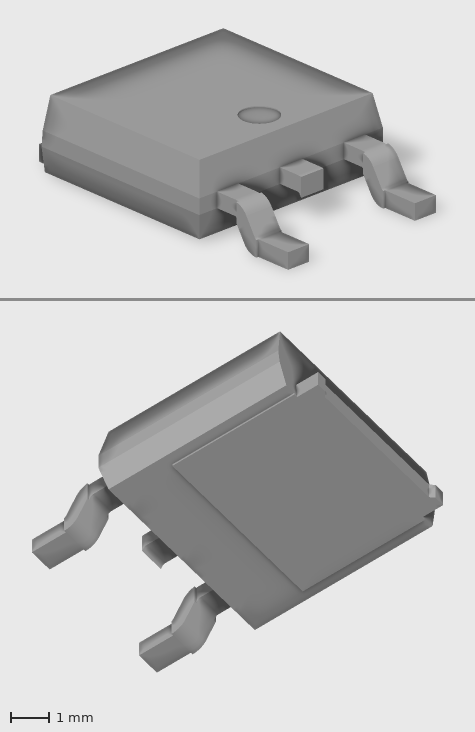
import cadquery as cq
import math

LENGTH = 9.5
HEIGHT = 2.35

BODY_WIDTH = 6.6
BODY_BASE = 0.07
BODY_TAB_FOOT = 0.7
BODY_TAB_TOP = 0.91
BODY_LEAD_SIDE = 6.79
DRAFT_INSET = 0.19
BAND_BOTTOM = 0.88
BAND_TOP = 1.36

MARK_X = 5.59
MARK_RADIUS = 0.57
MARK_DEPTH = 0.05

METAL_THICKNESS = 0.5
TAB_WIDTH = 5.32
PAD_WIDTH = 5.55
PAD_END = 4.75
PRONG_WIDTH = 0.32
NOTCH_DEPTH = 0.12

LEAD_WIDTH = 0.76
CENTER_LEAD_WIDTH = 0.8
LEAD_OFFSET = (TAB_WIDTH - LEAD_WIDTH) / 2
SHOULDER_WIDTH = 0.9
SHOULDER_START = 7.6
SHOULDER_END = 8.37
LEAD_ROOT = BODY_LEAD_SIDE - 0.475
LEAD_SLOPE = 58.2
UPPER_KNEE_X = 7.81
LOWER_KNEE_X = 7.51
UPPER_OUTER_RADIUS = 0.59
LOWER_OUTER_RADIUS = 0.53
INNER_BEND_RADIUS = 0.095


def box(x_start, x_end, width, z_bottom, z_top):
    """Box between two X and two Z limits, centred on Y = 0."""
    return (
        cq.Workplane("XY")
        .box(x_end - x_start, width, z_top - z_bottom, centered=(False, True, False))
        .translate((x_start, 0, z_bottom))
    )


def make_body():
    """Tapered body: the side profile intersected with the end profile."""
    half_width = BODY_WIDTH / 2
    side_profile = [
        (BODY_TAB_FOOT, BODY_BASE),
        (BODY_LEAD_SIDE - DRAFT_INSET, BODY_BASE),
        (BODY_LEAD_SIDE, BAND_BOTTOM),
        (BODY_LEAD_SIDE, BAND_TOP),
        (BODY_LEAD_SIDE - DRAFT_INSET, HEIGHT),
        (BODY_TAB_TOP, HEIGHT),
    ]
    half_end_profile = [
        (half_width - DRAFT_INSET, BODY_BASE),
        (half_width, BAND_BOTTOM),
        (half_width, BAND_TOP),
        (half_width - DRAFT_INSET, HEIGHT),
    ]
    mirrored = [(-y, z) for y, z in reversed(half_end_profile)]
    side = cq.Workplane("XZ").polyline(side_profile).close().extrude(half_width, both=True)
    end = cq.Workplane("YZ").polyline(half_end_profile + mirrored).close().extrude(LENGTH)
    mark = (
        cq.Workplane("XY", origin=(MARK_X, 0, HEIGHT - MARK_DEPTH))
        .circle(MARK_RADIUS)
        .extrude(MARK_DEPTH)
    )
    return side.intersect(end).cut(mark)


def make_tab():
    """Heat-sink tab with two end prongs, plus the wider exposed pad."""
    mouth = TAB_WIDTH / 2 - PRONG_WIDTH
    floor = mouth - NOTCH_DEPTH
    notch = (
        cq.Workplane("XY")
        .polyline([(0, -mouth), (NOTCH_DEPTH, -floor), (NOTCH_DEPTH, floor), (0, mouth)])
        .close()
        .extrude(METAL_THICKNESS)
    )
    tab = box(0, PAD_END, TAB_WIDTH, 0, METAL_THICKNESS).cut(notch)
    pad = box(BODY_TAB_FOOT, PAD_END, PAD_WIDTH, 0, BODY_BASE)
    return tab.union(pad)


def make_lead_strip(width):
    """Full-length bent lead of the given width, centred on Y = 0."""
    run_per_drop = 1 / math.tan(math.radians(LEAD_SLOPE))
    upper_foot_x = UPPER_KNEE_X + (BAND_TOP - METAL_THICKNESS) * run_per_drop
    lower_foot_x = LOWER_KNEE_X + BAND_BOTTOM * run_per_drop
    upper_outer = (UPPER_KNEE_X, BAND_TOP)
    upper_inner = (LOWER_KNEE_X, BAND_BOTTOM)
    lower_outer = (lower_foot_x, 0)
    lower_inner = (upper_foot_x, METAL_THICKNESS)
    profile = [
        (LEAD_ROOT, BAND_TOP),
        upper_outer,
        lower_inner,
        (LENGTH, METAL_THICKNESS),
        (LENGTH, 0),
        lower_outer,
        upper_inner,
        (LEAD_ROOT, BAND_BOTTOM),
    ]
    bends = [
        (upper_outer, UPPER_OUTER_RADIUS),
        (upper_inner, INNER_BEND_RADIUS),
        (lower_outer, LOWER_OUTER_RADIUS),
        (lower_inner, INNER_BEND_RADIUS),
    ]
    strip = cq.Workplane("XZ").polyline(profile).close().extrude(width / 2, both=True)
    for (x, z), radius in bends:
        strip = strip.edges(cq.selectors.NearestToPointSelector((x, 0, z))).fillet(radius)
    return strip


def make_outer_lead():
    """Bent lead, widened between the shoulders."""
    shoulder_zone = box(SHOULDER_START, SHOULDER_END, SHOULDER_WIDTH, 0, HEIGHT)
    shoulder = make_lead_strip(SHOULDER_WIDTH).intersect(shoulder_zone)
    return make_lead_strip(LEAD_WIDTH).union(shoulder)


def make_center_lead():
    """Short lead, cut off where the outer leads widen."""
    kept_zone = box(LEAD_ROOT, SHOULDER_START, CENTER_LEAD_WIDTH, 0, HEIGHT)
    return make_lead_strip(CENTER_LEAD_WIDTH).intersect(kept_zone)


result = make_body().union(make_tab()).union(make_center_lead())
for side in (-1, 1):
    result = result.union(make_outer_lead().translate((0, side * LEAD_OFFSET, 0)))